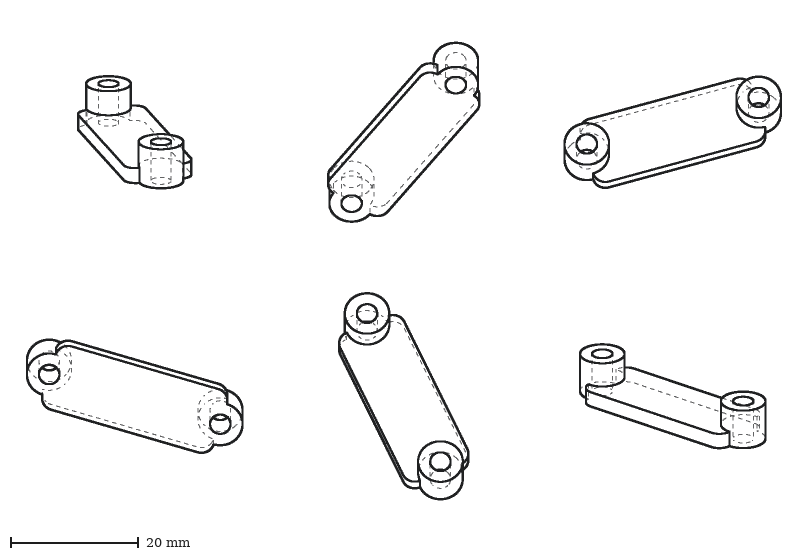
import cadquery as cq

boss_spacing = 28.0
boss_diameter = 7.0
boss_height = 6.5
hole_diameter = 3.2
plate_width = 11.0
plate_thickness = 2.5
plate_corner_radius = 2.0

plate_length = boss_spacing
boss_centers = [(-boss_spacing / 2, 0), (boss_spacing / 2, 0)]


def make_plate():
    """Flat plate with rounded vertical corners, resting on Z = 0."""
    plate = cq.Workplane("XY").box(
        plate_length, plate_width, plate_thickness, centered=(True, True, False)
    )
    return plate.edges("|Z").fillet(plate_corner_radius)


def make_cylinders(diameter):
    """Full-height cylinders, one on each boss axis."""
    return cq.Workplane("XY").pushPoints(boss_centers).circle(diameter / 2).extrude(boss_height)


bosses = make_cylinders(boss_diameter)
through_holes = make_cylinders(hole_diameter)

result = make_plate().union(bosses).cut(through_holes)